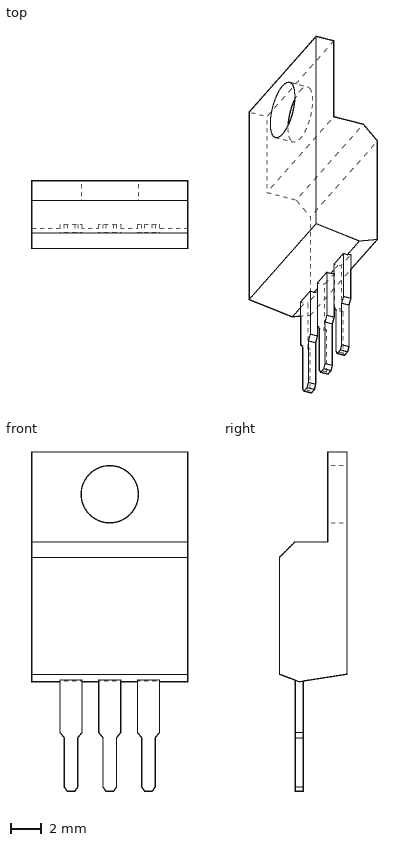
import cadquery as cq

width = 10.25
depth = 4.45
height = 22.27

body_top = 16.37
top_bevel = 1.02
body_rim = 7.68
body_bottom = 7.2
ridge_y = -3.15

tab_thickness = 1.3
hole_diameter = 3.75
hole_z = 19.49

lead_count = 3
lead_pitch = 2.54
lead_thickness = 0.53
lead_y = -3.15
lead_embed = 0.9
wide_half = 0.73
narrow_half = 0.45
tip_half = 0.25
shoulder_top = 3.87
shoulder_bottom = 3.52
tip_height = 0.3


def make_body():
    """Side profile in YZ, extruded across the width."""
    profile = [
        (0, body_rim),
        (0, body_top),
        (top_bevel - depth, body_top),
        (-depth, body_top - top_bevel),
        (-depth, body_rim),
        (ridge_y, body_bottom),
    ]
    return cq.Workplane("YZ").polyline(profile).close().extrude(width / 2, both=True)


def make_tab():
    """Flat plate flush with the rear face, with a round mounting hole."""
    plate = cq.Workplane("XY").box(
        width, tab_thickness, height - body_top, centered=(True, True, False)
    ).translate((0, -tab_thickness / 2, body_top))
    hole = (
        cq.Workplane("XZ")
        .center(0, hole_z)
        .circle(hole_diameter / 2)
        .extrude(tab_thickness)
    )
    return plate.cut(hole)


def make_lead(x):
    """Flat lead, narrowed below its shoulder and bevelled at the tip."""
    right_edge = [
        (tip_half, 0),
        (narrow_half, tip_height),
        (narrow_half, shoulder_bottom),
        (wide_half, shoulder_top),
        (wide_half, body_bottom + lead_embed),
    ]
    left_edge = [(-half, z) for half, z in reversed(right_edge)]
    return (
        cq.Workplane("XZ")
        .polyline(right_edge + left_edge)
        .close()
        .extrude(lead_thickness / 2, both=True)
        .translate((x, lead_y, 0))
    )


result = make_body().union(make_tab())
for index in range(lead_count):
    lead_x = (index - (lead_count - 1) / 2) * lead_pitch
    result = result.union(make_lead(lead_x))